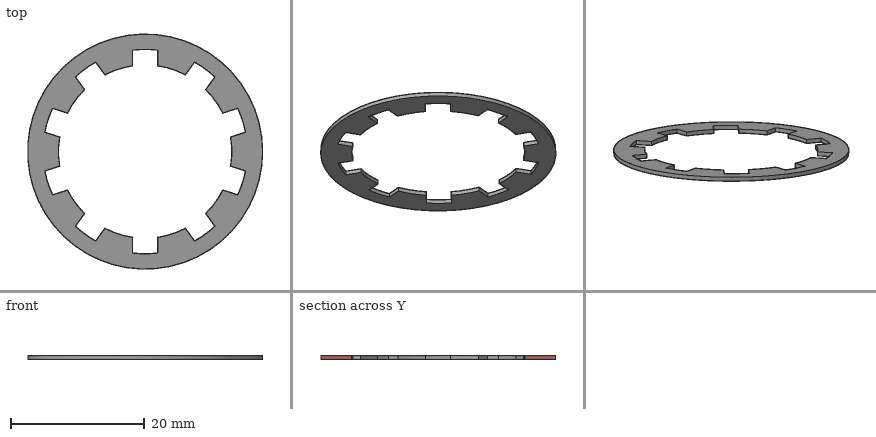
import cadquery as cq

outer_diameter = 35.3
thickness = 0.65
bore_radius = 13.0
root_radius = 15.32
slot_width = 3.75
slot_count = 10
slot_pitch = 360.0 / slot_count
first_slot_angle = slot_pitch / 2


def disc(radius):
    return cq.Workplane("XY").circle(radius).extrude(thickness)


def slot_bar(angle):
    """Parallel-sided radial bar running from the centre past the slot bottom."""
    bar = cq.Workplane("XY").box(
        outer_diameter / 2, slot_width, thickness, centered=(False, True, False)
    )
    return bar.rotate((0, 0, 0), (0, 0, 1), angle)


washer = disc(outer_diameter / 2).cut(disc(bore_radius))

for index in range(slot_count):
    slot = slot_bar(first_slot_angle + index * slot_pitch).intersect(disc(root_radius))
    washer = washer.cut(slot)

result = washer